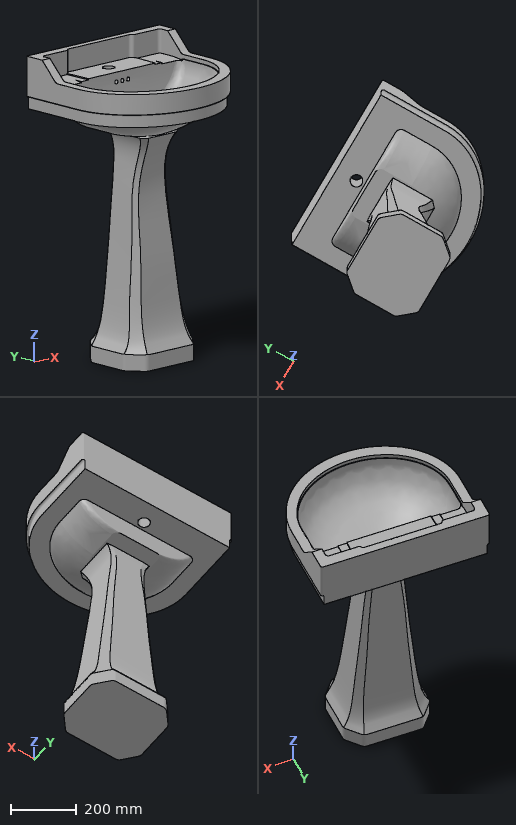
import cadquery as cq
import math

half_width = 280.0
depth = 470.0
top_z = 960.0
rim_z = 898.0
shelf_z = 884.0
band_bottom_z = 833.0
slab_bottom_z = 792.0
bowl_bottom_z = 720.0
ellipse_axis_y = -227.0

slab_inset = 9.5
cove_radius = 6.5
back_corner_radius = 6.5

wing_flat_depth = 71.0
wing_slope_run = top_z - rim_z
wing_foot_radius = 22.0
cut_clearance = 10.0

recess_half_width = 247.0
recess_front_y = -433.0
recess_back_y = -36.0
recess_corner_radius = 10.0
niche_back_y = -26.0
niche_half_width = 134.0
niche_step_run = 16.5
bowl_back_y = -129.0

platform_rise = 4.0
platform_back_half_width = 142.5
platform_front_half_width = 139.5
tap_hole_radius = 19.0
tap_hole_y = -70.0
soap_inner_x = 169.0
soap_inner_back_y = -103.0
soap_outer_back_y = -97.0
soap_drop = 5.0
soap_front_y = bowl_back_y - cut_clearance

drain_y = -194.0
drain_seat_z = 728.0
drain_seat_radius = 39.0
drain_hole_radius = 26.0
drain_blend = 1.0
overflow_radius = 6.0
overflow_spacing = 25.0
overflow_z = 858.0
overflow_depth = 20.0
overflow_start_y = -160.0

inner_bowl_sections = [
    (shelf_z, 244.5, -430.5, bowl_back_y, ellipse_axis_y, 20.0),
    (845.0, 236.0, -421.0, -132.0, -225.0, 26.0),
    (795.0, 198.0, -382.0, -139.0, -217.0, 36.0),
    (755.0, 130.0, -308.0, -146.0, -205.0, 40.0),
    (
        drain_seat_z,
        drain_seat_radius,
        drain_y - drain_seat_radius,
        drain_y + drain_seat_radius,
        drain_y - drain_blend,
        drain_seat_radius - drain_blend,
    ),
]

belly_back_y = -97.0
belly_axis_y = -215.0
belly_corner_radius = 20.0
belly_sections = [
    (slab_bottom_z, 210.0, -403.0),
    (764.0, 187.0, -384.0),
    (740.0, 153.0, -347.0),
    (bowl_bottom_z, 86.0, -300.0),
]

pedestal_base = (0.0, 144.0, 98.0, -91.0, -344.0, -145.0, -289.5)
plinth_height = 52.0
plinth_corner_radius = 20.0
waste_pocket_depth = 35.0
column_sections = [
    (plinth_height, *pedestal_base[1:]),
    (123.0, 115.0, 85.5, -127.0, -311.0, -153.0, -283.0),
    (240.0, 99.5, 77.0, -136.0, -295.0, -159.0, -269.0),
    (410.0, 82.0, 64.5, -141.5, -275.0, -159.5, -259.5),
    (576.0, 67.0, 52.0, -146.0, -262.5, -159.5, -250.0),
    (678.0, 63.0, 46.5, -151.0, -287.0, -155.5, -274.0),
    (bowl_bottom_z, 79.0, 59.5, -151.0, -309.5, -153.0, -291.5),
]


def tub_outline(z, half_x, front_y, back_y, axis_y, corner_radius):
    """Closed outline with a straight back, rounded back corners and a half-ellipse front."""
    diagonal = corner_radius * (1 - math.sqrt(0.5))
    corner_x = half_x - corner_radius
    corner_y = back_y - corner_radius
    return (
        cq.Workplane("XY", origin=(0, 0, z))
        .moveTo(corner_x, back_y)
        .lineTo(-corner_x, back_y)
        .threePointArc((-half_x + diagonal, back_y - diagonal), (-half_x, corner_y))
        .lineTo(-half_x, axis_y)
        .ellipseArc(half_x, axis_y - front_y, 180, 360, startAtCurrent=True)
        .lineTo(half_x, corner_y)
        .threePointArc((half_x - diagonal, back_y - diagonal), (corner_x, back_y))
        .close()
    )


def loft(outlines, ruled=False):
    wires = [outline.wire().val() for outline in outlines]
    return cq.Workplane(cq.Solid.makeLoft(wires, ruled))


def slab_layer(inset, bottom_z, height):
    """Straight sides that start at the wall, closed by a half-ellipse front."""
    half_x = half_width - inset
    return (
        cq.Workplane("XY", origin=(0, 0, bottom_z))
        .moveTo(-half_x, 0)
        .lineTo(-half_x, ellipse_axis_y)
        .ellipseArc(half_x, depth - inset + ellipse_axis_y, 180, 360, startAtCurrent=True)
        .lineTo(half_x, 0)
        .close()
        .extrude(height)
    )


def slab():
    """Wide band over a narrower lower layer, with a cove in the corner between them."""
    band = slab_layer(0, band_bottom_z, top_z - band_bottom_z)
    lower = slab_layer(slab_inset, slab_bottom_z, band_bottom_z - slab_bottom_z)
    reach_x = half_width - slab_inset / 2
    inside_corner = cq.selectors.BoxSelector(
        (-reach_x, -depth + slab_inset / 2, band_bottom_z - 1),
        (reach_x, 1, band_bottom_z + 1),
        boundingbox=True,
    )
    body = band.union(lower).edges(inside_corner).fillet(cove_radius)
    return body.edges("|Z and >Y").edges(">X or <X").fillet(back_corner_radius)


def above_rim_cut():
    """Space above the front rim and above the sloping wings."""
    slope_foot_y = -wing_flat_depth - wing_slope_run
    clear_x = half_width + cut_clearance
    clear_y = -depth - cut_clearance
    space = (
        cq.Workplane("YZ", origin=(-clear_x, 0, 0))
        .moveTo(-wing_flat_depth, top_z)
        .lineTo(slope_foot_y, rim_z)
        .lineTo(clear_y, rim_z)
        .lineTo(clear_y, top_z)
        .close()
        .extrude(2 * clear_x)
    )
    slope_foot = cq.selectors.NearestToPointSelector((0, slope_foot_y, rim_z))
    return space.edges(slope_foot).fillet(wing_foot_radius)


def recess_cut():
    """Space inside the rim down to the side shelves, with a deeper niche behind the tap."""
    height = top_z - shelf_z
    pocket = tub_outline(
        shelf_z, recess_half_width, recess_front_y, recess_back_y, ellipse_axis_y, recess_corner_radius
    )
    step = niche_back_y - recess_back_y
    half_run = niche_step_run / 2
    outer_x = niche_half_width + half_run
    inner_x = niche_half_width - half_run
    middle_y = recess_back_y + step / 2
    turn = 2 * math.atan(step / niche_step_run)
    radius = half_run / math.sin(turn)
    arc_run = radius * math.sin(turn / 2)
    arc_rise = radius * (1 - math.cos(turn / 2))
    niche = (
        cq.Workplane("XY", origin=(0, 0, shelf_z))
        .moveTo(-outer_x, bowl_back_y)
        .lineTo(-outer_x, recess_back_y)
        .threePointArc((-outer_x + arc_run, recess_back_y + arc_rise), (-niche_half_width, middle_y))
        .threePointArc((-inner_x - arc_run, niche_back_y - arc_rise), (-inner_x, niche_back_y))
        .lineTo(inner_x, niche_back_y)
        .threePointArc((inner_x + arc_run, niche_back_y - arc_rise), (niche_half_width, middle_y))
        .threePointArc((outer_x - arc_run, recess_back_y + arc_rise), (outer_x, recess_back_y))
        .lineTo(outer_x, bowl_back_y)
        .close()
    )
    return pocket.extrude(height).union(niche.extrude(height))


def tap_platform():
    """Low raised shelf around the tap hole, from the niche wall to the edge of the bowl."""
    return (
        cq.Workplane("XY", origin=(0, 0, shelf_z))
        .moveTo(-platform_front_half_width, bowl_back_y)
        .lineTo(-platform_back_half_width, recess_back_y)
        .lineTo(-niche_half_width, niche_back_y)
        .lineTo(niche_half_width, niche_back_y)
        .lineTo(platform_back_half_width, recess_back_y)
        .lineTo(platform_front_half_width, bowl_back_y)
        .close()
        .extrude(platform_rise)
    )


def soap_hollow(side):
    """Wedge that lets one side shelf slope down into the bowl; side is 1 for +X and -1 for -X."""
    def profile(x, back_y):
        corners = [(back_y, shelf_z), (soap_front_y, shelf_z - soap_drop), (soap_front_y, shelf_z)]
        return cq.Workplane("YZ", origin=(side * x, 0, 0)).polyline(corners).close()

    inner = profile(soap_inner_x, soap_inner_back_y)
    outer = profile(recess_half_width, soap_outer_back_y)
    return loft([inner, outer], ruled=True)


def bowl_cut():
    return loft([tub_outline(*section) for section in inner_bowl_sections])


def bowl_belly():
    """Rounded underside that hangs below the slab."""
    return loft(
        tub_outline(z, half_x, front_y, belly_back_y, belly_axis_y, belly_corner_radius)
        for z, half_x, front_y in belly_sections
    )


def hole(radius, y, bottom_z, top):
    return cq.Workplane("XY", origin=(0, y, bottom_z)).circle(radius).extrude(top - bottom_z)


def overflow_holes():
    return (
        cq.Workplane("XZ", origin=(0, overflow_start_y, overflow_z))
        .rarray(overflow_spacing, 1, 3, 1)
        .circle(overflow_radius)
        .extrude(overflow_start_y - bowl_back_y - overflow_depth)
    )


def make_basin():
    basin = slab().cut(above_rim_cut()).union(bowl_belly())
    basin = basin.cut(recess_cut()).union(tap_platform())
    for side in (-1, 1):
        basin = basin.cut(soap_hollow(side))
    basin = basin.cut(bowl_cut())
    basin = basin.cut(hole(drain_hole_radius, drain_y, bowl_bottom_z, drain_seat_z))
    basin = basin.cut(hole(tap_hole_radius, tap_hole_y, slab_bottom_z, top_z))
    return basin.cut(overflow_holes())


def octagon(z, half_x, face_half_x, back_y, front_y, side_back_y, side_front_y):
    """Rectangle with its four corners cut off."""
    right = [
        (face_half_x, front_y),
        (half_x, side_front_y),
        (half_x, side_back_y),
        (face_half_x, back_y),
    ]
    left = [(-x, y) for x, y in reversed(right)]
    return cq.Workplane("XY", origin=(0, 0, z)).polyline(right + left).close()


def make_pedestal():
    """Plinth with rounded corners under a flared column with cut corners."""
    plinth = octagon(*pedestal_base).extrude(plinth_height)
    plinth = plinth.edges("|Z").fillet(plinth_corner_radius)
    column = loft([octagon(*section) for section in column_sections])
    envelope = octagon(*pedestal_base).extrude(bowl_bottom_z)
    envelope = envelope.edges("|Z").fillet(plinth_corner_radius)
    body = plinth.union(column.intersect(envelope))
    return body.cut(hole(drain_hole_radius, drain_y, bowl_bottom_z - waste_pocket_depth, bowl_bottom_z))


basin = make_basin()
pedestal = make_pedestal()
result = cq.Compound.makeCompound([basin.solids().val(), pedestal.solids().val()])